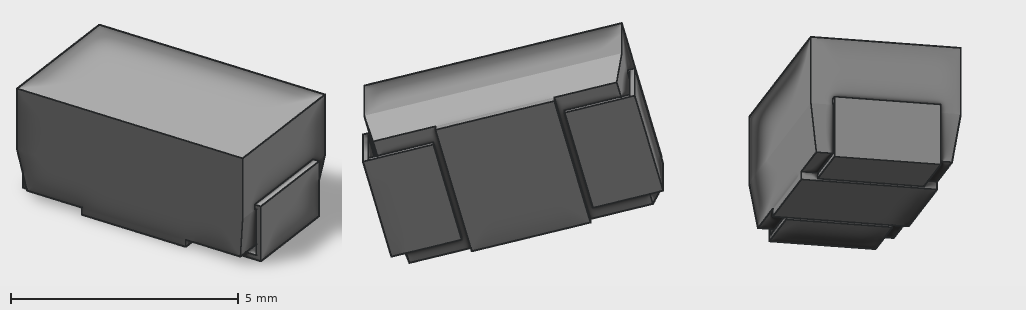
import cadquery as cq

total_length = 6.2
body_width = 3.4
total_height = 2.79

body_gap = 0.16
body_length = total_length - 2 * body_gap
shoulder_height = 1.25
base_height = 0.18
taper_inset = 0.16
base_length = body_length - 2 * taper_inset
base_width = body_width - 2 * taper_inset
pad_length = 2.71

lead_thickness = 0.12
lead_width = 2.405
lead_height = 1.39
foot_length = 1.605


def make_housing():
    """Box with a tapered lower part and a central standoff pad."""
    upper = (
        cq.Workplane("XY")
        .workplane(offset=shoulder_height)
        .rect(body_length, body_width)
        .extrude(total_height - shoulder_height)
    )
    lower = (
        cq.Workplane("XY")
        .workplane(offset=base_height)
        .rect(base_length, base_width)
        .workplane(offset=shoulder_height - base_height)
        .rect(body_length, body_width)
        .loft(ruled=True)
    )
    pad = cq.Workplane("XY").rect(pad_length, base_width).extrude(base_height)
    return upper.union(lower).union(pad)


def make_lead(side):
    """Lead at one end (side = -1 or 1): foot, upright and a short tab touching the housing."""
    outer_x = side * total_length / 2
    inner_x = outer_x - side * lead_thickness
    tab_x = outer_x - side * body_gap
    foot_x = outer_x - side * foot_length
    tab_bottom = lead_height - lead_thickness
    profile = [
        (outer_x, 0),
        (outer_x, lead_height),
        (tab_x, lead_height),
        (tab_x, tab_bottom),
        (inner_x, tab_bottom),
        (inner_x, lead_thickness),
        (foot_x, lead_thickness),
        (foot_x, 0),
    ]
    return cq.Workplane("XZ").polyline(profile).close().extrude(lead_width / 2, both=True)


housing = make_housing()
leads = [make_lead(side) for side in (-1, 1)]

result = cq.Compound.makeCompound([housing.val(), *[lead.val() for lead in leads]])